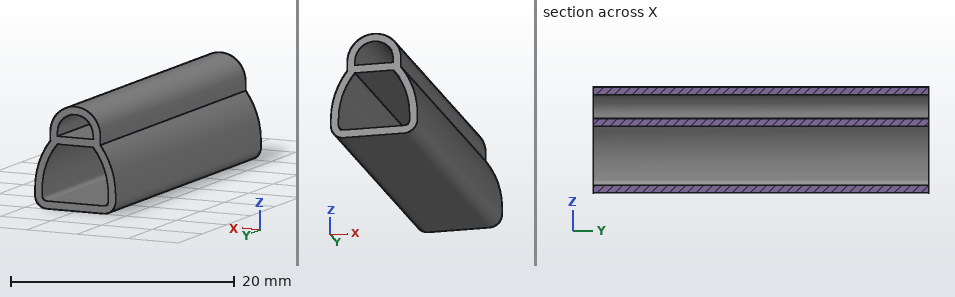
import cadquery as cq
import math

length = 30.0
base_width = 8.0
height = 9.5
wall = 0.72

arch_radius = 2.5
side_radius = 7.2
side_start_z = 1.8
corner_radius = 1.2
web_bottom_z = 5.97

half_width = base_width / 2
arch_center_z = height - arch_radius
side_center_x = half_width - side_radius


def prism(outline):
    """Extrude a closed XZ outline over the length, centred on Y."""
    return outline.close().extrude(length / 2, both=True)


def lower_body(offset, top_z):
    """Bowed-side body, moved inward by offset and cut flat at top_z."""
    half = half_width - offset
    bow = side_radius - offset
    corner = corner_radius - offset
    rise = top_z - side_start_z
    half_top = side_center_x + math.sqrt(bow**2 - rise**2)
    middle_angle = math.asin(rise / bow) / 2
    middle_x = side_center_x + bow * math.cos(middle_angle)
    middle_z = side_start_z + bow * math.sin(middle_angle)
    body = prism(
        cq.Workplane("XZ")
        .moveTo(-half, offset)
        .lineTo(half, offset)
        .lineTo(half, side_start_z)
        .threePointArc((middle_x, middle_z), (half_top, top_z))
        .lineTo(-half_top, top_z)
        .threePointArc((-middle_x, middle_z), (-half, side_start_z))
    )
    return body.faces("<Z").edges("|Y").fillet(corner)


def arch(radius, bottom_z):
    """Half-round body with short straight legs down to bottom_z."""
    return prism(
        cq.Workplane("XZ")
        .moveTo(-radius, bottom_z)
        .lineTo(radius, bottom_z)
        .lineTo(radius, arch_center_z)
        .threePointArc((0, arch_center_z + radius), (-radius, arch_center_z))
    )


neck_z = side_start_z + math.sqrt(side_radius**2 - (arch_radius - side_center_x)**2)

outside = lower_body(0, neck_z).union(arch(arch_radius, web_bottom_z))
lower_channel = lower_body(wall, web_bottom_z)
upper_channel = arch(arch_radius - wall, web_bottom_z + wall)

result = outside.cut(lower_channel).cut(upper_channel)